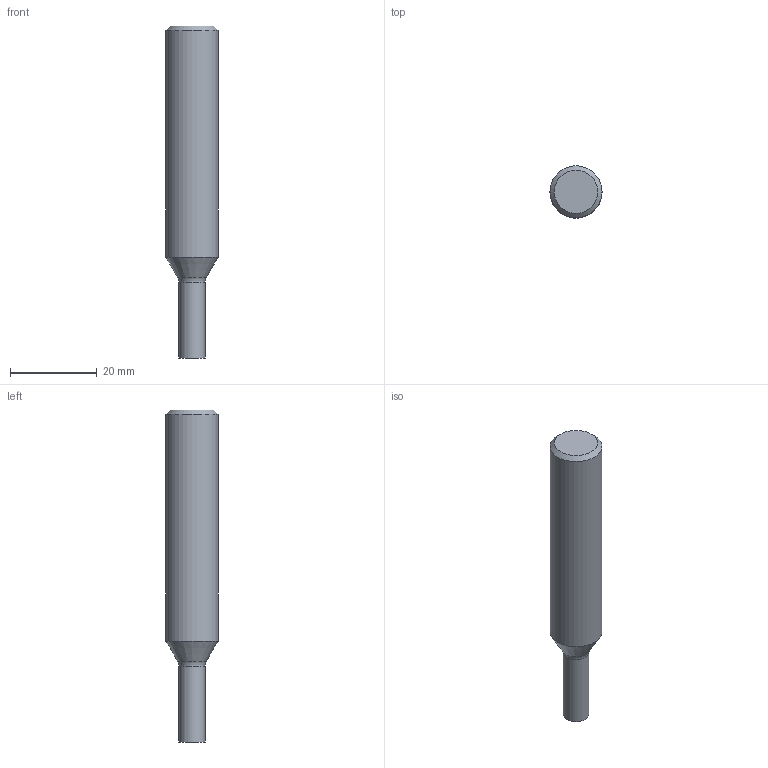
import cadquery as cq
import math

total_length = 76.5
shank_radius = 12 / 2
tip_radius = 6 / 2
tip_length = 17.5
taper_half_angle = math.radians(30)
neck_fillet_radius = 2.0
top_chamfer = 1.0

neck_radius = tip_radius + neck_fillet_radius * (1 - math.cos(taper_half_angle))
neck_top = tip_length + neck_fillet_radius * math.sin(taper_half_angle)
half_turn = taper_half_angle / 2
neck_mid = (
    tip_radius + neck_fillet_radius * (1 - math.cos(half_turn)),
    tip_length + neck_fillet_radius * math.sin(half_turn),
)
shank_start = neck_top + (shank_radius - neck_radius) / math.tan(taper_half_angle)


def revolved_pin():
    """Stepped pin: slim tip, filleted neck, cone, shank and top chamfer."""
    half_profile = (
        cq.Workplane("XZ")
        .lineTo(tip_radius, 0)
        .lineTo(tip_radius, tip_length)
        .threePointArc(neck_mid, (neck_radius, neck_top))
        .lineTo(shank_radius, shank_start)
        .lineTo(shank_radius, total_length - top_chamfer)
        .lineTo(shank_radius - top_chamfer, total_length)
        .lineTo(0, total_length)
        .close()
    )
    return half_profile.revolve(360, (0, 0, 0), (0, 1, 0))


result = revolved_pin()